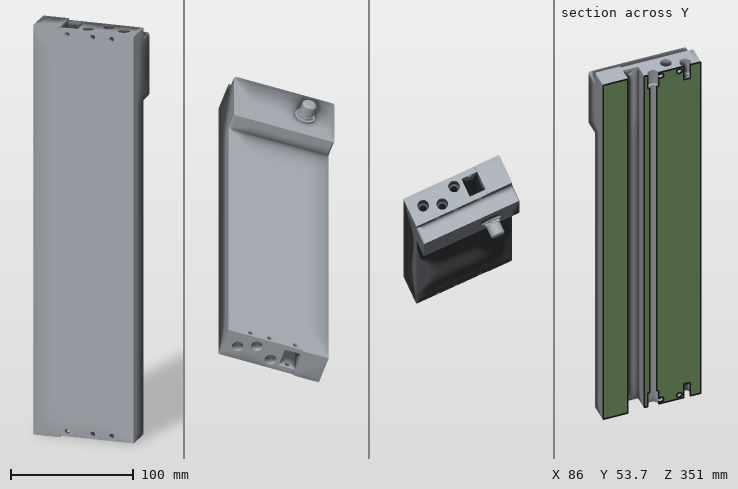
import cadquery as cq

bar_width = 86.0
bar_depth = 25.3
bar_length = 351.0

strip_width = 22.0
end_step = 1.5
strip_edge_radius = 0.7

channel_width = 14.0
channel_depth = 16.0
channel_front = 5.0

port_centers = [(44.2, 8.0), (59.0, 17.2), (73.7, 12.0)]
port_bore_diameter = 6.0
port_mouth_diameter = 9.5
port_mouth_depth = 14.0

mount_hole_diameter = 4.2
mount_hole_places = [28.8, 51.0, 67.0]
mount_hole_inset = 5.5

housing_depth = 14.5
housing_height = 54.8
housing_top_gap = 10.0
housing_corner_radius = 2.0

connector_x = 25.5
connector_top_gap = 40.5
flange_diameter = 17.2
flange_thickness = 1.8
nut_across_corners = 14.7
nut_thickness = 2.0
plug_diameter = 12.0
plug_chamfer = 1.0
total_depth = 53.7

housing_back = bar_depth + housing_depth


def block(x, y, z, width, depth, height):
    """Box given by its lowest corner and its sizes along X, Y and Z."""
    return cq.Workplane("XY").box(width, depth, height, centered=False).translate((x, y, z))


def rod_along_y(x, z, diameter, y_start, y_end):
    """Cylinder parallel to Y."""
    plane = cq.Workplane("XZ", origin=(x, y_start, z))
    return plane.circle(diameter / 2).extrude(y_start - y_end)


def make_bar():
    strip = block(0, 0, 0, strip_width, bar_depth, bar_length)
    strip = strip.edges("|Z").fillet(strip_edge_radius)
    stepped_start = strip_width / 2
    stepped_length = bar_length - 2 * end_step
    stepped = block(stepped_start, 0, end_step, bar_width - stepped_start, bar_depth, stepped_length)
    channel = block(strip_width, channel_front, 0, channel_width, channel_depth, bar_length)
    return strip.union(stepped).cut(channel)


def cut_ports(body):
    plane = cq.Workplane("XY").pushPoints(port_centers)
    bores = plane.circle(port_bore_diameter / 2).extrude(bar_length)
    mouth_length = end_step + port_mouth_depth
    mouths = plane.circle(port_mouth_diameter / 2).extrude(mouth_length)
    upper_mouths = mouths.translate((0, 0, bar_length - mouth_length))
    return body.cut(bores).cut(mouths).cut(upper_mouths)


def cut_mount_holes(body):
    for z in (mount_hole_inset, bar_length - mount_hole_inset):
        for x in mount_hole_places:
            body = body.cut(rod_along_y(x, z, mount_hole_diameter, 0, bar_depth))
    return body


def make_housing():
    bottom = bar_length - housing_top_gap - housing_height
    housing = block(0, bar_depth, bottom, bar_width, housing_depth, housing_height)
    return housing.edges("|Y").fillet(housing_corner_radius)


def make_connector():
    z = bar_length - connector_top_gap
    flange_back = housing_back + flange_thickness
    nut_back = flange_back + nut_thickness
    flange = rod_along_y(connector_x, z, flange_diameter, housing_back, flange_back)
    nut_plane = cq.Workplane("XZ", origin=(connector_x, flange_back, z))
    nut = nut_plane.polygon(6, nut_across_corners).extrude(-nut_thickness)
    nut = nut.rotate((connector_x, 0, z), (connector_x, 1, z), 90)
    plug = rod_along_y(connector_x, z, plug_diameter, nut_back, total_depth)
    plug = plug.faces(">Y").chamfer(plug_chamfer)
    return flange.union(nut).union(plug)


bar = cut_mount_holes(cut_ports(make_bar()))
result = bar.union(make_housing()).union(make_connector())